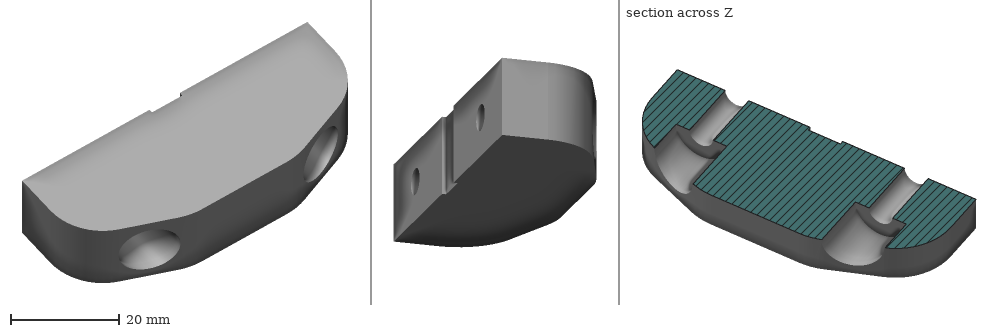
import cadquery as cq
import math

length = 65.0
depth = 25.0
thickness = 15.0

end_flat = 8.85
slope_angle = 21.5
corner_radius = 11.95
front_radius = 13.0

notch_width = 6.9
notch_depth = 0.8

hole_spacing = 39.0
hole_diameter = 5.1
counterbore_diameter = 11.0
counterbore_floor = 12.5


def make_block():
    """Extrude the plan outline with tangent rounds."""
    half_length = length / 2
    sin_slope = math.sin(math.radians(slope_angle))
    cos_slope = math.cos(math.radians(slope_angle))
    sin_mid = math.sin(math.radians((90 + slope_angle) / 2))
    cos_mid = math.cos(math.radians((90 + slope_angle) / 2))
    sin_half = math.sin(math.radians(slope_angle / 2))
    cos_half = math.cos(math.radians(slope_angle / 2))

    corner_y = half_length - corner_radius
    corner_mid = (end_flat + corner_radius * cos_mid, corner_y + corner_radius * sin_mid)
    slope_start = (end_flat + corner_radius * cos_slope, corner_y + corner_radius * sin_slope)

    front_x = depth - front_radius
    slope_end_x = front_x + front_radius * cos_slope
    slope_end_y = slope_start[1] - (slope_end_x - slope_start[0]) * cos_slope / sin_slope
    front_y = slope_end_y - front_radius * sin_slope
    front_mid = (front_x + front_radius * cos_half, front_y + front_radius * sin_half)

    def mirrored(point):
        return (point[0], -point[1])

    slope_end = (slope_end_x, slope_end_y)
    front_end = (depth, front_y)
    end_point = (end_flat, half_length)
    return (
        cq.Workplane("XY", origin=(0, 0, -thickness / 2))
        .moveTo(0, -half_length)
        .lineTo(0, half_length)
        .lineTo(*end_point)
        .threePointArc(corner_mid, slope_start)
        .lineTo(*slope_end)
        .threePointArc(front_mid, front_end)
        .lineTo(*mirrored(front_end))
        .threePointArc(mirrored(front_mid), mirrored(slope_end))
        .lineTo(*mirrored(slope_start))
        .threePointArc(mirrored(corner_mid), mirrored(end_point))
        .close()
        .extrude(thickness)
    )


def make_notch():
    """Shallow groove through the full thickness at mid-length."""
    return cq.Workplane("XY").box(2 * notch_depth, notch_width, thickness)


def make_screw_hole(y):
    """Through hole with a counterbore opening on the oblique face."""
    hole = cq.Workplane("YZ").center(y, 0).circle(hole_diameter / 2).extrude(depth)
    counterbore = (
        cq.Workplane("YZ", origin=(counterbore_floor, 0, 0))
        .center(y, 0)
        .circle(counterbore_diameter / 2)
        .extrude(depth - counterbore_floor)
    )
    return hole.union(counterbore)


result = make_block().cut(make_notch())
for side in (-1, 1):
    result = result.cut(make_screw_hole(side * hole_spacing / 2))